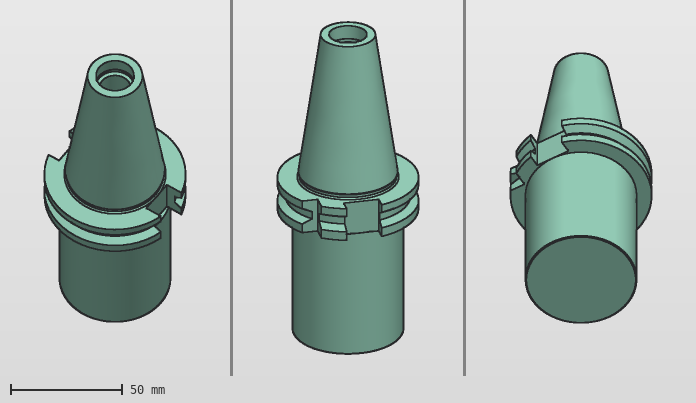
import cadquery as cq
import math

TOTAL_HEIGHT = 148.2
FLANGE_BOTTOM = 60.8
FLANGE_TOP = 76.6

BARREL_RADIUS = 50.0 / 2
BARREL_CHAMFER = 0.5

FLANGE_RADIUS = 63.5 / 2
GROOVE_RADIUS = 56.2 / 2
GROOVE_CENTER = 69.0
GROOVE_FLOOR_WIDTH = 3.5
GROOVE_FLANK_ANGLE = 30.0
GROOVE_FLANK_HEIGHT = (FLANGE_RADIUS - GROOVE_RADIUS) * math.tan(math.radians(GROOVE_FLANK_ANGLE))

TAPER_RATIO = 7 / 24
TAPER_BOTTOM = 79.3
TAPER_RADIUS = 44.8 / 2
TAPER_TOP_RADIUS = TAPER_RADIUS - (TOTAL_HEIGHT - TAPER_BOTTOM) * TAPER_RATIO / 2
NECK_RADIUS = 44.0 / 2
NECK_BOTTOM = 77.4
NECK_TOP = 78.7
NECK_FOOT_RADIUS = 45.7 / 2

COUNTERBORE_RADIUS = 17.0 / 2
RELIEF_RADIUS = 17.3 / 2
RELIEF_TOP_DEPTH = 6.5
RELIEF_BOTTOM_DEPTH = 8.2
HOLE_RADIUS = 14.0 / 2
HOLE_DEPTH = 29.6
CONE_ANGLE = 140.0

SLOT_WIDTH = 16.2
LEFT_SLOT_FLOOR = BARREL_RADIUS
RIGHT_SLOT_FLOOR = 22.7
NOTCH_OFFSET = 18.5


def revolve_profile(points):
    """Revolve a closed (radius, height) outline about the Z axis."""
    return cq.Workplane("XZ").polyline(points).close().revolve(360, (0, 0, 0), (0, 1, 0))


def make_body():
    floor_half = GROOVE_FLOOR_WIDTH / 2
    mouth_half = floor_half + GROOVE_FLANK_HEIGHT
    return revolve_profile([
        (0, 0),
        (BARREL_RADIUS - BARREL_CHAMFER, 0),
        (BARREL_RADIUS, BARREL_CHAMFER),
        (BARREL_RADIUS, FLANGE_BOTTOM),
        (FLANGE_RADIUS, FLANGE_BOTTOM),
        (FLANGE_RADIUS, GROOVE_CENTER - mouth_half),
        (GROOVE_RADIUS, GROOVE_CENTER - floor_half),
        (GROOVE_RADIUS, GROOVE_CENTER + floor_half),
        (FLANGE_RADIUS, GROOVE_CENTER + mouth_half),
        (FLANGE_RADIUS, FLANGE_TOP),
        (NECK_FOOT_RADIUS, FLANGE_TOP),
        (NECK_RADIUS, NECK_BOTTOM),
        (NECK_RADIUS, NECK_TOP),
        (TAPER_RADIUS, TAPER_BOTTOM),
        (TAPER_TOP_RADIUS, TOTAL_HEIGHT),
        (0, TOTAL_HEIGHT),
    ])


def make_bore():
    cone_slope = 1 / math.tan(math.radians(CONE_ANGLE / 2))
    relief_top = TOTAL_HEIGHT - RELIEF_TOP_DEPTH
    relief_bottom = TOTAL_HEIGHT - RELIEF_BOTTOM_DEPTH
    hole_top = relief_bottom - (RELIEF_RADIUS - HOLE_RADIUS) * cone_slope
    hole_bottom = TOTAL_HEIGHT - HOLE_DEPTH
    return revolve_profile([
        (0, TOTAL_HEIGHT),
        (COUNTERBORE_RADIUS, TOTAL_HEIGHT),
        (COUNTERBORE_RADIUS, relief_top),
        (RELIEF_RADIUS, relief_top),
        (RELIEF_RADIUS, relief_bottom),
        (HOLE_RADIUS, hole_top),
        (HOLE_RADIUS, hole_bottom),
        (0, hole_bottom - HOLE_RADIUS * cone_slope),
    ])


def rim_cutter(x_start, x_end, y_start, y_end):
    """Block spanning the flange height between the given X and Y limits."""
    return (
        cq.Workplane("XY", origin=(0, 0, FLANGE_BOTTOM))
        .moveTo((x_start + x_end) / 2, (y_start + y_end) / 2)
        .rect(x_end - x_start, y_end - y_start)
        .extrude(FLANGE_TOP - FLANGE_BOTTOM)
    )


left_slot = rim_cutter(-FLANGE_RADIUS, -LEFT_SLOT_FLOOR, -SLOT_WIDTH / 2, SLOT_WIDTH / 2)
right_slot = rim_cutter(RIGHT_SLOT_FLOOR, FLANGE_RADIUS, -SLOT_WIDTH / 2, SLOT_WIDTH / 2)
notch = rim_cutter(-FLANGE_RADIUS, -NOTCH_OFFSET, NOTCH_OFFSET, FLANGE_RADIUS)

result = make_body().cut(make_bore()).cut(left_slot).cut(right_slot).cut(notch)